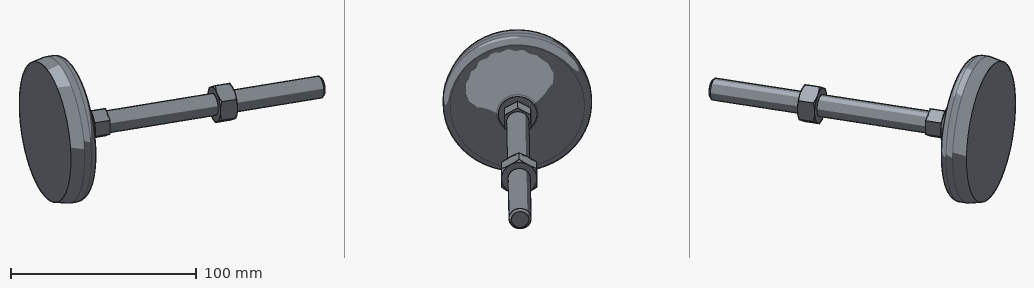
import cadquery as cq
import math

total_length = 160.0

foot_radius = 40.0
floor_radius = 38.4
taper_height = 7.4
band_top = 11.2
shoulder_radius = 3.8
shoulder_top = band_top + shoulder_radius
flare_middle = (20.2, 18.7)
crown_radius = 11.2
crown_base = 24.3
crown_top = 25.1
crown_chamfer = crown_top - crown_base

neck_radius = 10.0 / 2
rod_radius = 12.0 / 2
rod_chamfer = 1.3

collar_flats = 14.0
collar_base = 26.0
collar_top = 34.9
nut_flats = 19.0
nut_base = 97.6
nut_height = 10.0
nut_bevel_angle = 30.0


def foot_plate():
    """Turned plate with a tapered rim, rounded shoulder and hollow flare."""
    shoulder_center_radius = foot_radius - shoulder_radius
    diagonal = shoulder_radius * math.sqrt(0.5)
    shoulder_middle = (shoulder_center_radius + diagonal, band_top + diagonal)
    return (
        cq.Workplane("XY")
        .lineTo(floor_radius, 0)
        .lineTo(foot_radius, taper_height)
        .lineTo(foot_radius, band_top)
        .threePointArc(shoulder_middle, (shoulder_center_radius, shoulder_top))
        .threePointArc(flare_middle, (crown_radius, crown_base))
        .lineTo(crown_radius - crown_chamfer, crown_top)
        .lineTo(0, crown_top)
        .close()
        .revolve(360, (0, 0, 0), (0, 1, 0))
    )


def bar_along_y(radius, start, end):
    """Round bar on the axis between two Y positions."""
    return cq.Workplane("XZ", origin=(0, start, 0)).circle(radius).extrude(start - end)


def hexagon_along_y(across_flats, start, end):
    """Hexagonal bar on the axis between two Y positions."""
    corner_diameter = across_flats / math.cos(math.radians(30))
    return (
        cq.Workplane("XZ", origin=(0, start, 0))
        .transformed(rotate=(0, 0, 90))
        .polygon(6, corner_diameter)
        .extrude(start - end)
    )


def lock_nut():
    """Hexagonal nut whose corners are bevelled conically at both ends."""
    flat_radius = nut_flats / 2
    corner_radius = flat_radius / math.cos(math.radians(30))
    bevel_height = (corner_radius - flat_radius) * math.tan(math.radians(nut_bevel_angle))
    nut_top = nut_base + nut_height
    envelope = (
        cq.Workplane("XY")
        .moveTo(0, nut_base)
        .lineTo(flat_radius, nut_base)
        .lineTo(corner_radius, nut_base + bevel_height)
        .lineTo(corner_radius, nut_top - bevel_height)
        .lineTo(flat_radius, nut_top)
        .lineTo(0, nut_top)
        .close()
        .revolve(360, (0, 0, 0), (0, 1, 0))
    )
    return hexagon_along_y(nut_flats, nut_base, nut_top).intersect(envelope)


neck = bar_along_y(neck_radius, 0, collar_base)
collar = hexagon_along_y(collar_flats, collar_base, collar_top)
rod = bar_along_y(rod_radius, collar_base, total_length).faces(">Y").chamfer(rod_chamfer)

result = foot_plate().union(neck).union(collar).union(rod).union(lock_nut())